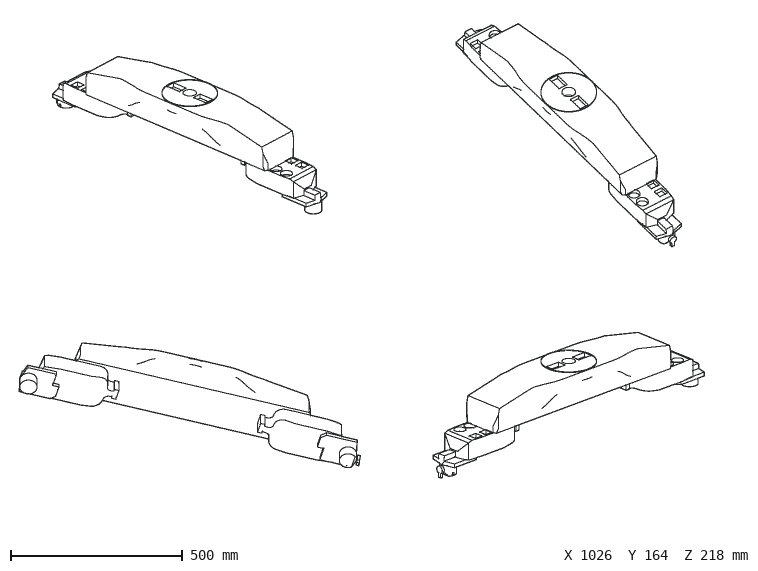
import cadquery as cq


BEAM_HEIGHT = 105.0
BEAM_HALF_LENGTH = 355.0
BEAM_BAND_HEIGHT = 22.0
BEAM_SHOULDER_X = 341.0
BEAM_SHOULDER_Z = 77.0
BEAM_FLAT_TOP_X = 208.0
BEAM_MID_HALF_WIDTH = 82.0
BEAM_END_HALF_WIDTH = 67.0
BEAM_FOOT_HALF_WIDTH = 63.0
BEAM_FLANK_HEIGHT = 67.0
BEAM_CORNER_CUT_X = 9.0
BEAM_CORNER_CUT_Y = 12.0
FLARE_INNER_X = 101.0
FLARE_JOINT_X = 147.0
FLARE_OUTER_X = 234.0

DISC_DIAMETER = 162.0
DISC_TOP = 107.0
DISC_THICKNESS = 31.0
DISC_BORE = 39.0
SLOT_INNER_X = 28.0
SLOT_OUTER_X = 76.0
SLOT_WIDTH = 29.0
SLOT_DEPTH = 13.0

ARM_BOTTOM = -60.0
ARM_HALF_WIDTH = 54.0
ARM_JOG_INNER_X = 404.0
ARM_JOG_OUTER_X = 412.0
ARM_JOG_HALF_WIDTH = 53.0
ARM_CORNER_X = 449.0
ARM_CORNER_HALF_WIDTH = 50.0
ARM_NOSE_X = 461.0
ARM_NOSE_HALF_WIDTH = 15.0
ARM_NOSE_TOP = -39.0
ARM_BEVEL_X = 436.0
ARM_BEVEL_DROP = 5.0
ARM_RAMP_X = 310.0
ARM_RAMP_END_X = 228.0
ARM_RAMP_TOP = -44.0
ARM_ROUND_X = 281.0
ARM_ROUND_RADIUS = 30.0
ARM_COVE_RADIUS = 14.0
ARM_HEAD_X = 228.0
ARM_HEAD_HALF_WIDTH = 16.0
ARM_INNER_X = 214.0
POCKET_X = (-406.0, -365.0)
ROUND_POCKET_Y = 32.0
ROUND_POCKET_DIAMETER = 35.0
SQUARE_POCKET_Y = -35.0
SQUARE_POCKET_SIDE = 27.0
POCKET_DEPTH = 13.0

PLATE_THICKNESS = 12.0
PLATE_BOTTOM = ARM_BOTTOM - PLATE_THICKNESS
PLATE_TIP_X = 509.0
PLATE_CORNER_X = 498.0
PLATE_BACK_Y = 48.0
PLATE_FRONT_Y = -42.0
PLATE_LONG_X = 391.0
PLATE_SHORT_X = 410.0
PLATE_CHAMFER = 13.0
RIB_TOP = -43.0
RIB_BACK_Y = 17.0
RIB_FRONT_Y = -6.0
RIB_TOP_X = 504.0

POST_DIAMETER = 50.0
POST_X = 483.0
POST_Y = 1.0
POST_BOTTOM = -106.0
LOCK_CUT_TOP = -92.0
LOCK_CUT_DEPTH = 9.0
PIN_HOLE_DIAMETER = 6.0
PIN_HOLE_X = -485.0
PIN_HOLE_Z = -100.0
PIN_HOLE_DEPTH = 6.0

KEY_TIP_X = -517.0
KEY_THICKNESS = 8.0
KEY_Z = -86.0
KEY_BOW_DIAMETER = 24.0
KEY_BLADE_WIDTH = 10.0
KEY_BOTTOM = -111.0
KEY_SHANK_DIAMETER = 8.5
KEY_SHANK_LENGTH = 15.0


def box_between(x0, x1, y0, y1, z0, z1):
    """Axis-aligned block between two corners."""
    block = cq.Workplane("XY").box(x1 - x0, y1 - y0, z1 - z0, centered=False)
    return block.translate((x0, y0, z0))


def turned(body):
    """The same body at the opposite end, half a turn about the hub axis."""
    return body.rotate((0, 0, 0), (0, 0, 1), 180)


def extruded_profile(points, half_width):
    """Outline in X and Z, extruded equally to both sides of Y = 0."""
    return cq.Workplane("XZ").polyline(points).close().extrude(half_width, both=True)


def beam_plan():
    """Beam outline in X and Y: wide middle flaring into narrower ends."""
    flare_length = FLARE_OUTER_X - FLARE_INNER_X
    flare_drop = BEAM_MID_HALF_WIDTH - BEAM_END_HALF_WIDTH
    joint_y = BEAM_MID_HALF_WIDTH - flare_drop * (FLARE_JOINT_X - FLARE_INNER_X) / flare_length
    mid, end, tip = BEAM_MID_HALF_WIDTH, BEAM_END_HALF_WIDTH, BEAM_HALF_LENGTH
    chamfer_x = tip - BEAM_CORNER_CUT_X
    chamfer_y = end - BEAM_CORNER_CUT_Y
    return (
        cq.Workplane("XY")
        .moveTo(-FLARE_INNER_X, mid)
        .lineTo(FLARE_INNER_X, mid)
        .tangentArcPoint((FLARE_JOINT_X, joint_y), relative=False)
        .tangentArcPoint((FLARE_OUTER_X, end), relative=False)
        .lineTo(chamfer_x, end)
        .lineTo(tip, chamfer_y)
        .lineTo(tip, -chamfer_y)
        .lineTo(chamfer_x, -end)
        .lineTo(FLARE_OUTER_X, -end)
        .tangentArcPoint((FLARE_JOINT_X, -joint_y), relative=False)
        .tangentArcPoint((FLARE_INNER_X, -mid), relative=False)
        .lineTo(-FLARE_INNER_X, -mid)
        .tangentArcPoint((-FLARE_JOINT_X, -joint_y), relative=False)
        .tangentArcPoint((-FLARE_OUTER_X, -end), relative=False)
        .lineTo(-chamfer_x, -end)
        .lineTo(-tip, -chamfer_y)
        .lineTo(-tip, chamfer_y)
        .lineTo(-chamfer_x, end)
        .lineTo(-FLARE_OUTER_X, end)
        .tangentArcPoint((-FLARE_JOINT_X, joint_y), relative=False)
        .tangentArcPoint((-FLARE_INNER_X, mid), relative=False)
        .close()
        .extrude(BEAM_HEIGHT)
    )


def make_beam():
    """Beam: plan outline trimmed by its side profile and its leaning flanks, with the disc recess."""
    right_side = [
        (BEAM_HALF_LENGTH, 0),
        (BEAM_HALF_LENGTH, BEAM_BAND_HEIGHT),
        (BEAM_SHOULDER_X, BEAM_SHOULDER_Z),
        (BEAM_FLAT_TOP_X, BEAM_HEIGHT),
    ]
    left_side = [(-x, z) for x, z in reversed(right_side)]
    side_profile = extruded_profile(right_side + left_side, BEAM_MID_HALF_WIDTH)
    cross_section = (
        cq.Workplane("YZ")
        .polyline([
            (-BEAM_FOOT_HALF_WIDTH, 0),
            (BEAM_FOOT_HALF_WIDTH, 0),
            (BEAM_MID_HALF_WIDTH, BEAM_FLANK_HEIGHT),
            (BEAM_MID_HALF_WIDTH, BEAM_HEIGHT),
            (-BEAM_MID_HALF_WIDTH, BEAM_HEIGHT),
            (-BEAM_MID_HALF_WIDTH, BEAM_FLANK_HEIGHT),
        ])
        .close()
        .extrude(BEAM_HALF_LENGTH, both=True)
    )
    recess = (
        cq.Workplane("XY", origin=(0, 0, DISC_TOP - DISC_THICKNESS))
        .circle(DISC_DIAMETER / 2)
        .extrude(DISC_THICKNESS)
    )
    return beam_plan().intersect(side_profile).intersect(cross_section).cut(recess)


def make_disc():
    """Hub disc with a central bore and two radial slots."""
    disc = (
        cq.Workplane("XY", origin=(0, 0, DISC_TOP - DISC_THICKNESS))
        .circle(DISC_DIAMETER / 2)
        .circle(DISC_BORE / 2)
        .extrude(DISC_THICKNESS)
    )
    slot = box_between(
        SLOT_INNER_X, SLOT_OUTER_X, -SLOT_WIDTH / 2, SLOT_WIDTH / 2, DISC_TOP - SLOT_DEPTH, DISC_TOP
    )
    return disc.cut(slot).cut(turned(slot))


def arm_plan():
    """Arm outline in X and Y: faceted outer end, rounded inner corners, neck and head."""
    round_end_x = -ARM_ROUND_X + ARM_ROUND_RADIUS
    cove_y = ARM_HALF_WIDTH - ARM_ROUND_RADIUS
    neck_x = round_end_x + ARM_COVE_RADIUS
    neck_y = cove_y - ARM_COVE_RADIUS
    half = (
        cq.Workplane("XY")
        .moveTo(-ARM_NOSE_X, 0)
        .lineTo(-ARM_NOSE_X, ARM_NOSE_HALF_WIDTH)
        .lineTo(-ARM_CORNER_X, ARM_CORNER_HALF_WIDTH)
        .lineTo(-ARM_JOG_OUTER_X, ARM_JOG_HALF_WIDTH)
        .lineTo(-ARM_JOG_INNER_X, ARM_HALF_WIDTH)
        .lineTo(-ARM_ROUND_X, ARM_HALF_WIDTH)
        .tangentArcPoint((round_end_x, cove_y), relative=False)
        .tangentArcPoint((neck_x, neck_y), relative=False)
        .lineTo(-ARM_HEAD_X, neck_y)
        .lineTo(-ARM_HEAD_X, ARM_HEAD_HALF_WIDTH)
        .lineTo(-ARM_INNER_X, ARM_HEAD_HALF_WIDTH)
        .lineTo(-ARM_INNER_X, 0)
        .close()
        .extrude(ARM_BOTTOM)
    )
    return half.union(half.mirror("XZ"))


def make_arm():
    """Arm at the -X end, with two round and two square pockets in its top."""
    side_profile = extruded_profile(
        [
            (-ARM_BEVEL_X, 0),
            (-ARM_CORNER_X, -ARM_BEVEL_DROP),
            (-ARM_NOSE_X, ARM_NOSE_TOP),
            (-ARM_NOSE_X, ARM_BOTTOM),
            (-ARM_RAMP_X, ARM_BOTTOM),
            (-ARM_RAMP_END_X, ARM_RAMP_TOP),
            (-ARM_INNER_X, ARM_RAMP_TOP),
            (-ARM_INNER_X, 0),
        ],
        ARM_HALF_WIDTH,
    )
    round_pockets = (
        cq.Workplane("XY")
        .pushPoints([(x, ROUND_POCKET_Y) for x in POCKET_X])
        .circle(ROUND_POCKET_DIAMETER / 2)
        .extrude(-POCKET_DEPTH)
    )
    square_pockets = (
        cq.Workplane("XY")
        .pushPoints([(x, SQUARE_POCKET_Y) for x in POCKET_X])
        .rect(SQUARE_POCKET_SIDE, SQUARE_POCKET_SIDE)
        .extrude(-POCKET_DEPTH)
    )
    return arm_plan().intersect(side_profile).cut(round_pockets).cut(square_pockets)


def make_plate():
    """Pointed foot plate under the arm, with a rib that runs from its tip to the arm's nose."""
    plan = [
        (-PLATE_TIP_X, 0),
        (-PLATE_CORNER_X, PLATE_BACK_Y),
        (-PLATE_LONG_X - PLATE_CHAMFER, PLATE_BACK_Y),
        (-PLATE_LONG_X, PLATE_BACK_Y - PLATE_CHAMFER),
        (-PLATE_LONG_X, 0),
        (-PLATE_SHORT_X, 0),
        (-PLATE_SHORT_X, PLATE_FRONT_Y),
        (-PLATE_CORNER_X, PLATE_FRONT_Y),
    ]
    outline = cq.Sketch().polygon(plan + plan[:1])
    base = cq.Workplane("XY", origin=(0, 0, PLATE_BOTTOM)).placeSketch(outline)
    plate = base.extrude(PLATE_THICKNESS)
    column = base.extrude(RIB_TOP - PLATE_BOTTOM)
    rib_strip = box_between(
        -PLATE_TIP_X, -ARM_NOSE_X, RIB_FRONT_Y, RIB_BACK_Y, PLATE_BOTTOM, RIB_TOP
    )
    sloping_tip = extruded_profile(
        [
            (-PLATE_TIP_X, PLATE_BOTTOM),
            (-RIB_TOP_X, RIB_TOP),
            (-PLATE_LONG_X, RIB_TOP),
            (-PLATE_LONG_X, PLATE_BOTTOM),
        ],
        PLATE_BACK_Y,
    )
    return plate.union(column.intersect(rib_strip)).intersect(sloping_tip)


def make_post():
    """Plain round post below the plate."""
    return (
        cq.Workplane("XY", origin=(-POST_X, POST_Y, POST_BOTTOM))
        .circle(POST_DIAMETER / 2)
        .extrude(PLATE_BOTTOM - POST_BOTTOM)
    )


def key_shank():
    """Round shank of the key, pointing in +X into the lock post."""
    return (
        cq.Workplane("YZ", origin=(KEY_TIP_X + KEY_THICKNESS, POST_Y, KEY_Z))
        .circle(KEY_SHANK_DIAMETER / 2)
        .extrude(KEY_SHANK_LENGTH)
    )


def make_lock_post():
    """Post with a slanting cut at its outer foot, a pin hole and the hole for the key."""
    outer_x = -POST_X - POST_DIAMETER / 2
    slant = extruded_profile(
        [
            (outer_x, LOCK_CUT_TOP),
            (outer_x + LOCK_CUT_DEPTH, POST_BOTTOM),
            (outer_x, POST_BOTTOM),
        ],
        POST_DIAMETER,
    )
    front_y = POST_Y - POST_DIAMETER / 2
    pin_hole = (
        cq.Workplane("XZ", origin=(PIN_HOLE_X, front_y, PIN_HOLE_Z))
        .circle(PIN_HOLE_DIAMETER / 2)
        .extrude(-PIN_HOLE_DEPTH)
    )
    return make_post().cut(slant).cut(pin_hole).cut(key_shank())


def make_key():
    """Key: round bow, hanging blade and a shank in the lock post."""
    bow = (
        cq.Workplane("YZ", origin=(KEY_TIP_X, POST_Y, KEY_Z))
        .circle(KEY_BOW_DIAMETER / 2)
        .extrude(KEY_THICKNESS)
    )
    half_blade = KEY_BLADE_WIDTH / 2
    blade = box_between(
        KEY_TIP_X, KEY_TIP_X + KEY_THICKNESS, POST_Y - half_blade, POST_Y + half_blade, KEY_BOTTOM, KEY_Z
    )
    return bow.union(blade).union(key_shank())


beam = make_beam()
disc = make_disc()
arm = make_arm()
plate = make_plate()
lock_post = make_lock_post()
plain_post = turned(make_post())
key = make_key()

result = cq.Compound.makeCompound([
    beam.val(),
    disc.val(),
    arm.val(),
    turned(arm).val(),
    plate.val(),
    turned(plate).val(),
    lock_post.val(),
    plain_post.val(),
    key.val(),
])